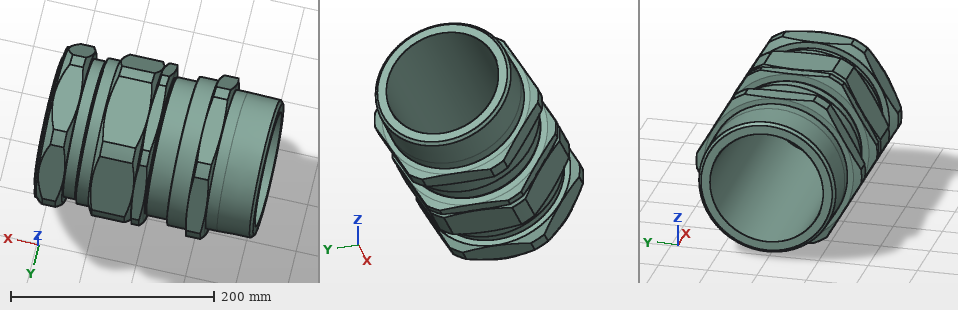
import cadquery as cq
import math

TOTAL_LENGTH = 221.0
BORE_RADIUS = 57.5

ENTRY_RADIUS = 69.5
ENTRY_CHAMFER = 2.9
TAPER_END = 35.5
TAPER_END_RADIUS = 70.0
FRONT_COLLAR_END = 85.1
FRONT_COLLAR_RADIUS = 75.0
EDGE_ROUNDING = 0.7
NECK_RADIUS = 69.6
NECK_CHAMFER = 1.0
REAR_COLLAR_END = 177.0
REAR_COLLAR_RADIUS = 73.5
GROOVE_WIDTH = 0.9
GROOVE_RADIUS = 67.9
END_LIP_RADIUS = 65.2

ACROSS_FLATS = 152.3
CORNER_RADIUS = 83.8
NUT_FACE_RADIUS = 75.8
LOCK_NUT_START = 47.0
LOCK_NUT_END = 65.9
SHORT_NUT_CHAMFER = 2.2
THIN_NUT_START = 109.0
THIN_NUT_END = 121.2
BODY_NUT_END = 164.7
BODY_NUT_FRONT_CHAMFER = 4.6
BODY_NUT_REAR_CHAMFER = 5.7
CAP_NUT_START = 190.8
CAP_NUT_END = 217.0
CAP_NUT_FRONT_CHAMFER = 4.6
CAP_NUT_REAR_CHAMFER = 8.0
CAP_NUT_TWIST = 0.7
CAP_RIM_END = 218.7


def revolve_profile(points):
    """Turn an (x, radius) outline, closed along the X axis, into a solid of revolution."""
    start_x = points[0][0]
    end_x = points[-1][0]
    outline = [(start_x, 0), *points, (end_x, 0)]
    return cq.Workplane("XY").polyline(outline).close().revolve(360, (0, 0), (1, 0))


def disc(start, end, radius):
    """Plain disc between two stations, to be joined to the core."""
    return cq.Workplane("YZ", origin=(start, 0, 0)).circle(radius).extrude(end - start)


def hex_nut(start, end, front_chamfer, rear_chamfer, rear_radius=NUT_FACE_RADIUS, twist=0):
    """Hexagon with flats facing +Z and -Z, its corners rounded and its two ends coned."""
    hexagon = (
        cq.Workplane("YZ", origin=(start, 0, 0))
        .polygon(6, ACROSS_FLATS / math.cos(math.pi / 6))
        .extrude(end - start)
        .rotate((0, 0, 0), (1, 0, 0), twist)
    )
    envelope = revolve_profile([
        (start, NUT_FACE_RADIUS),
        (start + front_chamfer, CORNER_RADIUS),
        (end - rear_chamfer, CORNER_RADIUS),
        (end, rear_radius),
    ])
    return hexagon.intersect(envelope)


core = revolve_profile([
    (0, ENTRY_RADIUS - ENTRY_CHAMFER),
    (ENTRY_CHAMFER, ENTRY_RADIUS),
    (TAPER_END, TAPER_END_RADIUS),
    (FRONT_COLLAR_END, TAPER_END_RADIUS),
    (FRONT_COLLAR_END, NECK_RADIUS),
    (THIN_NUT_START - 2 * NECK_CHAMFER, NECK_RADIUS),
    (THIN_NUT_START - NECK_CHAMFER, NECK_RADIUS - NECK_CHAMFER),
    (BODY_NUT_END, NECK_RADIUS - NECK_CHAMFER),
    (BODY_NUT_END, REAR_COLLAR_RADIUS),
    (REAR_COLLAR_END, REAR_COLLAR_RADIUS),
    (REAR_COLLAR_END, GROOVE_RADIUS),
    (REAR_COLLAR_END + GROOVE_WIDTH, NECK_RADIUS - NECK_CHAMFER),
    (REAR_COLLAR_END + GROOVE_WIDTH + NECK_CHAMFER, NECK_RADIUS),
    (CAP_NUT_END, NECK_RADIUS),
    (CAP_NUT_END, END_LIP_RADIUS),
    (TOTAL_LENGTH, END_LIP_RADIUS),
])

front_collar = disc(LOCK_NUT_END, FRONT_COLLAR_END, FRONT_COLLAR_RADIUS).edges().fillet(EDGE_ROUNDING)
cap_rim = disc(CAP_NUT_END, CAP_RIM_END, NUT_FACE_RADIUS).faces(">X").edges().fillet(EDGE_ROUNDING)

lock_nut = hex_nut(LOCK_NUT_START, LOCK_NUT_END, SHORT_NUT_CHAMFER, SHORT_NUT_CHAMFER)
thin_nut = hex_nut(THIN_NUT_START, THIN_NUT_END, SHORT_NUT_CHAMFER, SHORT_NUT_CHAMFER)
body_nut = hex_nut(
    THIN_NUT_END, BODY_NUT_END, BODY_NUT_FRONT_CHAMFER, BODY_NUT_REAR_CHAMFER, REAR_COLLAR_RADIUS
)
cap_nut = hex_nut(
    CAP_NUT_START, CAP_NUT_END, CAP_NUT_FRONT_CHAMFER, CAP_NUT_REAR_CHAMFER, twist=CAP_NUT_TWIST
)

bore = cq.Workplane("YZ").circle(BORE_RADIUS).extrude(TOTAL_LENGTH)

result = core
for piece in (front_collar, cap_rim, lock_nut, thin_nut, body_nut, cap_nut):
    result = result.union(piece)
result = result.cut(bore)